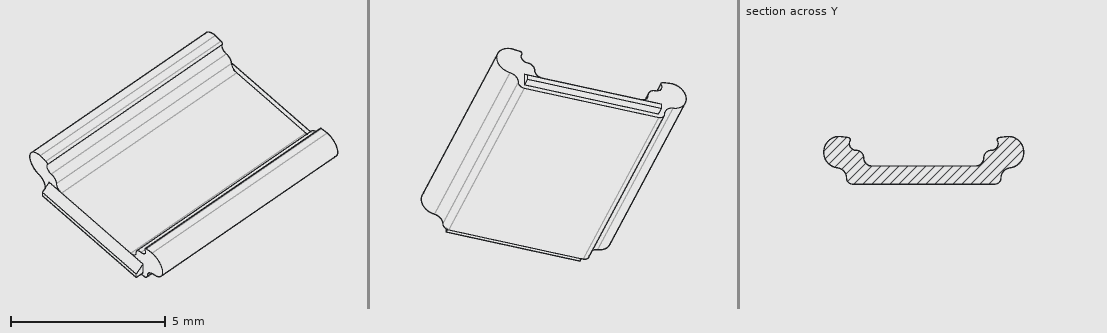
import cadquery as cq
import math

total_length = 8.2
total_width = 6.5
total_height = 1.56
body_length = 7.6

floor_height = 0.6
base_half_width = 2.51
base_corner_radius = 0.205

bead_radius = 0.52
bead_x = total_width / 2 - bead_radius
bead_z = total_height - bead_radius

lip_radius = 0.09
lip_reach = 2.38
groove_radius = 0.21
step_radius = 0.255
floor_half_width = 1.69

lug_half_width = 2.3
lug_bottom = 0.15
lug_tip_top = 0.33


def on_circle(center, radius, angle):
    """Point on a circle in the XZ section."""
    return (center[0] + radius * math.cos(angle), center[1] + radius * math.sin(angle))


def direction(start, end):
    """Angle of the line from start to end."""
    return math.atan2(end[1] - start[1], end[0] - start[0])


def make_half_section():
    """Section of the +X half of the channel, closed along the middle plane."""
    bead = (bead_x, bead_z)
    bead_top = (bead_x, total_height)

    step_middle = (floor_half_width + step_radius, floor_height + step_radius)
    step_top = (step_middle[0] + step_radius, step_middle[1] + step_radius)
    concave_center = (floor_half_width, step_middle[1])
    convex_center = (step_top[0], step_middle[1])

    groove = (step_top[0], step_top[1] + groove_radius)
    groove_end_angle = math.acos((lip_reach - groove[0]) / groove_radius)
    groove_end = on_circle(groove, groove_radius, groove_end_angle)
    groove_mid = on_circle(groove, groove_radius, (groove_end_angle - math.pi / 2) / 2)

    lip = (lip_reach + lip_radius, groove_end[1])

    bead_top_distance = math.dist(lip, bead_top)
    lip_top_angle = direction(lip, bead_top) + math.acos(lip_radius / bead_top_distance)
    lip_top = on_circle(lip, lip_radius, lip_top_angle)
    lip_mid_angle = (lip_top_angle + math.pi) / 2
    lip_mid = on_circle(lip, lip_radius, lip_mid_angle)

    flank_drop = bead_z - base_corner_radius
    flank_offset = bead_x - base_half_width
    flank_radius = (flank_offset**2 + flank_drop**2 - bead_radius**2) / (2 * (flank_offset + bead_radius))
    flank = (base_half_width + flank_radius, base_corner_radius)
    flank_top_angle = direction(flank, bead)
    flank_top = on_circle(flank, flank_radius, flank_top_angle)
    flank_mid = on_circle(flank, flank_radius, (flank_top_angle + math.pi) / 2)
    corner = (base_half_width - base_corner_radius, base_corner_radius)

    return (
        cq.Workplane("XZ", origin=(0, body_length / 2, 0))
        .moveTo(0, floor_height)
        .lineTo(floor_half_width, floor_height)
        .threePointArc(on_circle(concave_center, step_radius, -math.pi / 4), step_middle)
        .threePointArc(on_circle(convex_center, step_radius, 3 * math.pi / 4), step_top)
        .threePointArc(groove_mid, groove_end)
        .threePointArc(lip_mid, lip_top)
        .lineTo(*bead_top)
        .threePointArc((bead_x + bead_radius, bead_z), flank_top)
        .threePointArc(flank_mid, (base_half_width, base_corner_radius))
        .threePointArc(on_circle(corner, base_corner_radius, -math.pi / 4), (corner[0], 0))
        .lineTo(0, 0)
        .close()
    )


def make_channel():
    """Full channel, mirrored about the middle plane."""
    half = make_half_section().extrude(body_length)
    return half.union(half.mirror("YZ"))


def make_lugs():
    """One bar through the channel whose projecting ends form both lugs."""
    outline = [
        (-total_length / 2, lug_bottom),
        (total_length / 2, lug_bottom),
        (total_length / 2, lug_tip_top),
        (body_length / 2, floor_height),
        (-body_length / 2, floor_height),
        (-total_length / 2, lug_tip_top),
    ]
    return cq.Workplane("YZ").polyline(outline).close().extrude(lug_half_width, both=True)


result = make_channel().union(make_lugs()).clean()